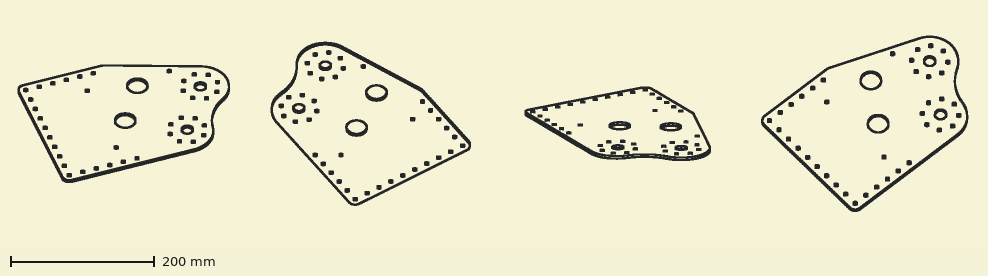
import cadquery as cq
import math

width = 200.0
height = 281.0
thickness = 4.0
corner_radius = 10.0
slant_start_y = 127.3

lobe_radius = 40.0
left_lobe = (85.0, height - lobe_radius)
right_lobe = (width - lobe_radius, 191.0)
valley_radius = 65.8

shaft_diameter = 16.0
shaft_centers = [left_lobe, (160.0, 195.0)]
ring_radius = 25.3
ring_count = 8

screw_diameter = 4.8
large_diameter = 28.7
large_centers = [(54.2, 159.0), (113.8, 120.0)]
edge_margin = 10.0
bottom_count = 10
side_count = 6
pitch = (width - 2 * edge_margin) / (bottom_count - 1)
inner_inset = edge_margin + 1.5 * pitch
inner_row_y = edge_margin + 4 * pitch
single_screws = [
    (inner_inset, inner_row_y),
    (width - inner_inset, inner_row_y),
    (41.5, 210.5),
]


def polar(center, radius, angle):
    """Point at a distance and direction (radians) from a center."""
    return (center[0] + radius * math.cos(angle), center[1] + radius * math.sin(angle))


def direction(start, end):
    """Angle in radians of the line from start to end."""
    return math.atan2(end[1] - start[1], end[0] - start[0])


def make_plate():
    """Plate with the slanted left edge, two lobes and rounded corners."""
    slant_corner = (0, slant_start_y)
    corner_distance = math.dist(slant_corner, left_lobe)
    slant_angle = direction(slant_corner, left_lobe) + math.asin(lobe_radius / corner_distance)
    slant_end = polar(left_lobe, lobe_radius, slant_angle + math.pi / 2)

    half_span = math.dist(left_lobe, right_lobe) / 2
    center_distance = lobe_radius + valley_radius
    valley_angle = direction(left_lobe, right_lobe) + math.acos(half_span / center_distance)
    valley = polar(left_lobe, center_distance, valley_angle)
    right_angle = direction(right_lobe, valley)
    valley_middle_angle = direction(left_lobe, right_lobe) - math.pi / 2

    plate = (
        cq.Workplane("XY")
        .lineTo(*slant_corner)
        .lineTo(*slant_end)
        .threePointArc(
            polar(left_lobe, lobe_radius, math.pi / 2),
            polar(left_lobe, lobe_radius, valley_angle),
        )
        .threePointArc(
            polar(valley, valley_radius, valley_middle_angle),
            polar(right_lobe, lobe_radius, right_angle),
        )
        .threePointArc(
            polar(right_lobe, lobe_radius, right_angle / 2),
            polar(right_lobe, lobe_radius, 0),
        )
        .lineTo(width, 0)
        .close()
        .extrude(thickness)
    )
    rounded_corners = [(0, 0), (width, 0), slant_corner]
    for x, y in rounded_corners:
        nearest_edge = cq.selectors.NearestToPointSelector((x, y, thickness / 2))
        plate = plate.edges("|Z").edges(nearest_edge).fillet(corner_radius)
    return plate


def ring_points(center):
    """Centers of the screw holes around a shaft hole."""
    step = 2 * math.pi / ring_count
    return [polar(center, ring_radius, i * step) for i in range(ring_count)]


def edge_points():
    """Screw holes along the bottom and both sides, without repeating corners."""
    bottom = [(edge_margin + i * pitch, edge_margin) for i in range(bottom_count)]
    sides = [
        (x, edge_margin + i * pitch)
        for x in (edge_margin, width - edge_margin)
        for i in range(1, side_count)
    ]
    return bottom + sides


def drill(plate, centers, diameter):
    """Cut through holes at the given centers."""
    cutters = cq.Workplane("XY").pushPoints(centers).circle(diameter / 2).extrude(thickness)
    return plate.cut(cutters)


screw_centers = edge_points() + single_screws
for shaft_center in shaft_centers:
    screw_centers += ring_points(shaft_center)

result = make_plate()
result = drill(result, shaft_centers, shaft_diameter)
result = drill(result, large_centers, large_diameter)
result = drill(result, screw_centers, screw_diameter)